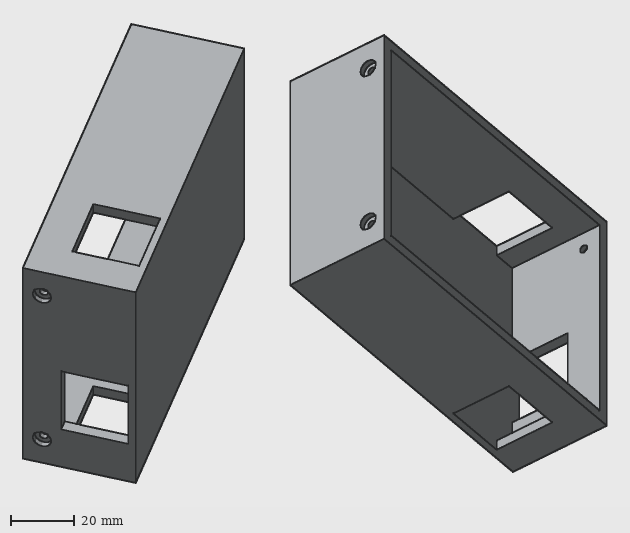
import cadquery as cq

depth_x = 37.5
length_y = 116.1
height_z = 84.3
wall = 3.8
back_thickness = 2.5

window_width = 22.2
window_x = depth_x - back_thickness - window_width
end_window_height = 25.7
end_window_bottom = 16.6
side_window_length = 22.5
side_window_start = 11.8

screw_x = 6.4
screw_edge_offset = 10.5
screw_diameter = 2.8
head_diameter = 6.0
head_depth = wall / 2


def box_from(corner, size):
    """Box with its lowest corner at the given point."""
    return cq.Workplane("XY").box(*size, centered=False).translate(corner)


def screw_hole(z):
    """Hole through both end walls with a flat head recess in each outer face."""
    axis = cq.Vector(0, 1, 0)
    bore = cq.Solid.makeCylinder(screw_diameter / 2, length_y, cq.Vector(screw_x, 0, z), axis)
    cutter = cq.Workplane(bore)
    for y, inward in ((0, axis), (length_y, -axis)):
        recess = cq.Solid.makeCylinder(head_diameter / 2, head_depth, cq.Vector(screw_x, y, z), inward)
        cutter = cutter.union(cq.Workplane(recess))
    return cutter


shell = box_from((0, 0, 0), (depth_x, length_y, height_z))
cavity = box_from(
    (0, wall, wall),
    (depth_x - back_thickness, length_y - 2 * wall, height_z - 2 * wall),
)

end_window = box_from((window_x, 0, end_window_bottom), (window_width, wall, end_window_height))
side_windows = box_from((window_x, side_window_start, 0), (window_width, side_window_length, height_z))

result = shell.cut(cavity).cut(end_window).cut(side_windows)
for screw_z in (screw_edge_offset, height_z - screw_edge_offset):
    result = result.cut(screw_hole(screw_z))